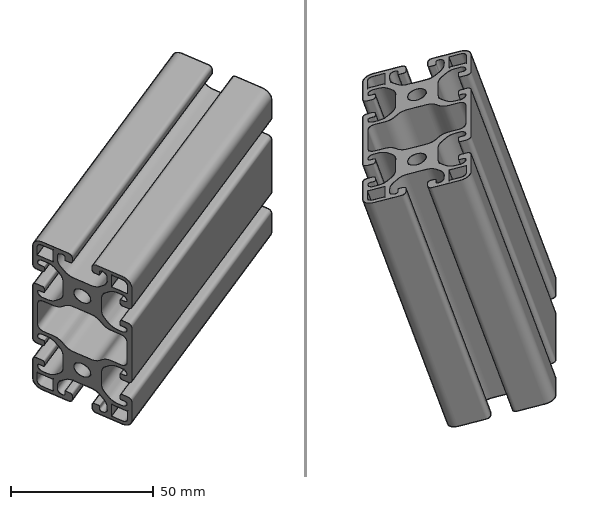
import cadquery as cq
import math

module = 40.0
height = 2 * module
length = 100.0
half_module = module / 2

outer_radius = 4.0
web = 1.8
wall = 2.0

slot_half_opening = 4.0
slot_half_width = 10.0
slot_depth = 12.2
lip_width = 3.0
lip_depth = 4.7
lip_outer_radius = 1.7
lip_inner_radius = 1.0
lip_tip_radius = 0.4
hook_radius = 2.0
hook_root_radius = 0.9

bore_diameter = 6.8
strut_shift = 2.2
strut_radius = 5.0
core_half = half_module - slot_depth
hollow_inner = slot_half_width + web
hollow_outer = half_module - web
hollow_radius = 2.0
cavity_half_width = half_module - wall
cavity_half_height = half_module - slot_half_width - web
cavity_corner_radius = 2.5

module_centres = (-half_module, half_module)


def extrude(sketch):
    """Extrude an outline on the XZ plane along the full length of the profile."""
    return sketch.extrude(length / 2, both=True)


def profile_plane():
    return cq.Workplane("XZ")


def block(x_low, x_high, z_low, z_high):
    centre = ((x_low + x_high) / 2, (z_low + z_high) / 2)
    return extrude(profile_plane().center(*centre).rect(x_high - x_low, z_high - z_low))


def corner_edges(solid, corners):
    """Return the lengthwise edges of a solid that pass through the given (x, z) corners."""
    tolerance = 0.01
    edges = []
    for edge in solid.edges("|Y").vals():
        point = edge.Center()
        if any(math.hypot(point.x - x, point.z - z) < tolerance for x, z in corners):
            edges.append(edge)
    return edges


def round_corners(solid, radius, corners):
    return solid.newObject(corner_edges(solid, corners)).fillet(radius)


def mirrored(x, z):
    """Return a corner and its mirror image across the Z axis."""
    return [(x, z), (-x, z)]


def make_slot():
    """Cutter for the slot that opens at the +Z face of a module centred on the origin."""
    lip_end = half_module - lip_depth
    undercut_top = half_module - wall
    lip_root = slot_half_opening + lip_width
    floor_corner = (core_half - strut_shift, core_half)
    side_corner = (slot_half_width, slot_half_width + strut_shift)
    right_side = [
        floor_corner,
        side_corner,
        (slot_half_width, undercut_top),
        (lip_root, undercut_top),
        (lip_root, lip_end),
        (slot_half_opening, lip_end),
        (slot_half_opening, half_module),
    ]
    left_side = [(-x, z) for x, z in reversed(right_side)]
    slot = extrude(profile_plane().polyline(right_side + left_side).close())
    slot = round_corners(slot, strut_radius, mirrored(*floor_corner) + mirrored(*side_corner))
    slot = round_corners(slot, hook_radius, mirrored(slot_half_width, undercut_top))
    slot = round_corners(slot, hook_root_radius, mirrored(lip_root, undercut_top))
    slot = round_corners(slot, lip_tip_radius, mirrored(lip_root, lip_end))
    slot = round_corners(slot, lip_inner_radius, mirrored(slot_half_opening, lip_end))
    flare_half = slot_half_opening + lip_outer_radius
    flare = block(-flare_half, flare_half, half_module - lip_outer_radius, half_module)
    for side in (-1, 1):
        rounding = profile_plane().center(side * flare_half, half_module - lip_outer_radius)
        flare = flare.cut(extrude(rounding.circle(lip_outer_radius)))
    return slot.union(flare)


def make_cavity():
    """Cutter for the central cavity, which rises between the diagonal struts to each core."""
    core_corner = (core_half - strut_shift, half_module - core_half)
    strut_corner = (slot_half_width + web - strut_shift, cavity_half_height)
    wall_corner = (cavity_half_width, cavity_half_height)
    upper_right = [wall_corner, strut_corner, core_corner]
    upper = upper_right + [(-x, z) for x, z in reversed(upper_right)]
    outline = upper + [(x, -z) for x, z in reversed(upper)]
    cavity = extrude(profile_plane().polyline(outline).close())
    wall_corners = [(x, z) for x, z in outline if abs(x) == cavity_half_width]
    strut_corners = [(x, z) for x, z in outline if abs(x) < cavity_half_width]
    cavity = round_corners(cavity, strut_radius, strut_corners)
    return round_corners(cavity, cavity_corner_radius, wall_corners)


def make_corner_hollow():
    """Cutter for the square hollow in the +X, +Z corner of the profile."""
    bottom = half_module + hollow_inner
    top = half_module + hollow_outer
    hollow = block(hollow_inner, hollow_outer, bottom, top)
    return round_corners(hollow, hollow_radius, [(hollow_outer, top)])


body = block(-half_module, half_module, -height / 2, height / 2).edges("|Y").fillet(outer_radius)

slot = make_slot()
for centre_z in module_centres:
    end_angle = 0 if centre_z > 0 else 180
    for angle in (end_angle, 90, -90):
        turned = slot.rotate((0, 0, 0), (0, 1, 0), angle)
        body = body.cut(turned.translate((0, 0, centre_z)))

body = body.cut(make_cavity())

hollow = make_corner_hollow()
hollow_pair = hollow.union(hollow.mirror("YZ"))
body = body.cut(hollow_pair).cut(hollow_pair.mirror("XY"))

for centre_z in module_centres:
    body = body.cut(extrude(profile_plane().center(0, centre_z).circle(bore_diameter / 2)))

result = body